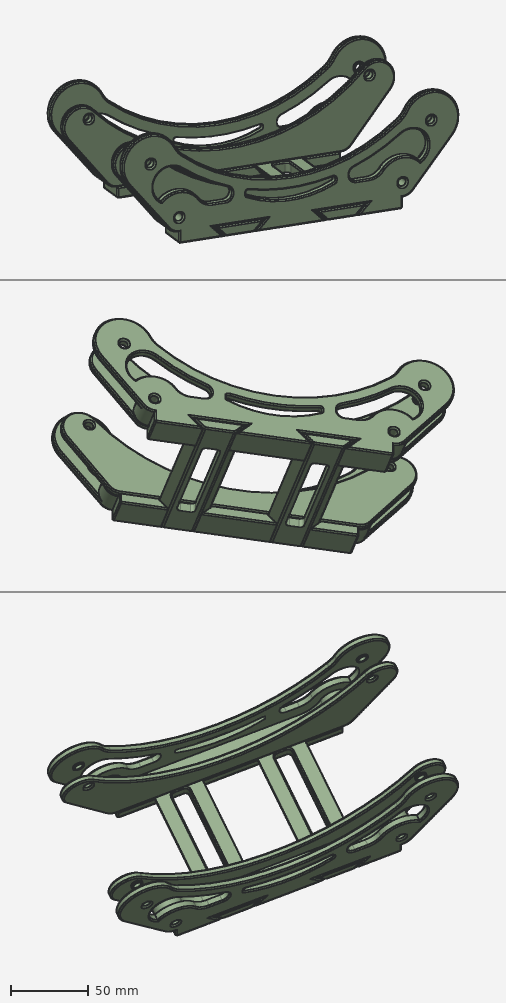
import cadquery as cq
import math

half_width = 58.46
plate_thickness = 5.0
side_width = 21.8
edge_chamfer = 1.0
outer_face_x = -half_width
plate_face_x = outer_face_x + plate_thickness
side_face_x = outer_face_x + side_width

cradle_center_z = 159.2
outer_cradle_radius = 125.0
inner_cradle_radius = 136.0

eye_y = 100.1
eye_z = 57.9
eye_radius = 20.0
eye_blend_radius = 20.0
lug_y = 79.7
lug_z = 18.0
lug_radius = 10.0

rail_half_length = lug_y
rail_height = lug_z - lug_radius
seat_arc_y = 56.0
seat_z = 13.5

window_top_radius = 133.3
window_lobe_y = 85.7
window_lobe_radius = 12.5
window_hump_radius = 18.0
window_floor_z = 24.0
window_floor_y = 56.0
window_corner_radius = 5.0
arc_slot_half_length = 32.0
arc_slot_bottom_z = 18.7
arc_slot_bottom_radius = 76.4
arc_slot_end_radius = 1.7

inner_plate_thickness = 4.8
inner_plate_x = side_face_x - inner_plate_thickness
inner_eye_y = 105.5
inner_eye_radius = 13.0

pivot_hole_diameter = 5.5
hole_rim_diameter = 8.0
boss_diameter = 8.0
outer_boss_height = 0.7
inner_boss_height = 1.2
screw_hole_diameter = 5.5
pilot_diameter = 3.1
pilot_rim_diameter = 5.3
pilot_depth = 3.5

bar_y = 36.3
bar_clearance = 0.5
bar_height = rail_height - bar_clearance
bar_top_half_width = 17.8
bar_slot_width = 12.2
bar_slot_half_length = 36.5
bar_slot_fillet = 3.0


def polar(center, radius, angle):
    return (center[0] + radius * math.cos(angle), center[1] + radius * math.sin(angle))


def toward(start, end, distance):
    """Point at a distance from start on the line to end."""
    length = math.dist(start, end)
    return tuple(a + (b - a) * distance / length for a, b in zip(start, end))


def mid_arc(center, start, end):
    """Middle of the shorter arc about center from start to end."""
    middle = ((start[0] + end[0]) / 2, (start[1] + end[1]) / 2)
    return toward(center, middle, math.dist(center, start))


def circle_meet(center_a, radius_a, center_b, radius_b, side):
    """One of the two points where two circles cross; side +1 lies left of the line from a to b."""
    gap = math.dist(center_a, center_b)
    swing = math.acos((radius_a**2 + gap**2 - radius_b**2) / (2 * radius_a * gap))
    heading = math.atan2(center_b[1] - center_a[1], center_b[0] - center_a[0])
    return polar(center_a, radius_a, heading + side * swing)


def mirrored(point):
    return (-point[0], point[1])


cradle_center = (0, cradle_center_z)
eye = (eye_y, eye_z)
lug = (lug_y, lug_z)

lug_bottom = (lug_y, rail_height)


def outside_cradle(y, distance):
    """Point at the given Y and distance from the cradle center, below that center."""
    return (y, cradle_center_z - math.sqrt(distance**2 - y**2))


def flank(eye_center, radius):
    """Ends of the line tangent to the outer sides of an eye and the lug, eye end first."""
    bearing = math.atan2(eye_center[1] - lug_z, eye_center[0] - lug_y)
    normal = bearing - math.acos((lug_radius - radius) / math.dist(eye_center, lug))
    return polar(eye_center, radius, normal), polar(lug, lug_radius, normal)


def eye_crown(center, radius):
    """Outermost point of an eye, away from the cradle center."""
    return polar(center, radius, math.pi / 4)


def extrude_x(sketch, x_start, x_end):
    return sketch.extrude(x_end - x_start).translate((x_start, 0, 0))


def frame_plate_outline():
    rail_bottom = (rail_half_length - edge_chamfer, 0)
    rail_side = (rail_half_length, edge_chamfer)
    blend = circle_meet(
        cradle_center, outer_cradle_radius - eye_blend_radius, eye, eye_radius + eye_blend_radius, -1
    )
    blend_top = toward(eye, blend, eye_radius)
    blend_bottom = toward(cradle_center, blend, outer_cradle_radius)
    blend_middle = mid_arc(blend, blend_top, blend_bottom)
    flank_top, flank_bottom = flank(eye, eye_radius)
    lug_middle = mid_arc(lug, lug_bottom, flank_bottom)
    crown = eye_crown(eye, eye_radius)
    return (
        cq.Workplane("YZ")
        .moveTo(*mirrored(rail_bottom))
        .lineTo(*rail_bottom)
        .lineTo(*rail_side)
        .lineTo(*lug_bottom)
        .threePointArc(lug_middle, flank_bottom)
        .lineTo(*flank_top)
        .threePointArc(crown, blend_top)
        .threePointArc(blend_middle, blend_bottom)
        .threePointArc((0, cradle_center_z - outer_cradle_radius), mirrored(blend_bottom))
        .threePointArc(mirrored(blend_middle), mirrored(blend_top))
        .threePointArc(mirrored(crown), mirrored(flank_top))
        .lineTo(*mirrored(flank_bottom))
        .threePointArc(mirrored(lug_middle), mirrored(lug_bottom))
        .lineTo(*mirrored(rail_side))
        .close()
    )


def inner_plate_outline():
    inner_eye = outside_cradle(inner_eye_y, inner_cradle_radius + inner_eye_radius)
    flank_end, flank_bottom = flank(inner_eye, inner_eye_radius)
    cradle_end = toward(cradle_center, inner_eye, inner_cradle_radius)
    crown = eye_crown(inner_eye, inner_eye_radius)
    lug_middle = mid_arc(lug, lug_bottom, flank_bottom)
    return (
        cq.Workplane("YZ")
        .moveTo(*mirrored(lug_bottom))
        .lineTo(*lug_bottom)
        .threePointArc(lug_middle, flank_bottom)
        .lineTo(*flank_end)
        .threePointArc(crown, cradle_end)
        .threePointArc((0, cradle_center_z - inner_cradle_radius), mirrored(cradle_end))
        .threePointArc(mirrored(crown), mirrored(flank_end))
        .lineTo(*mirrored(flank_bottom))
        .threePointArc(mirrored(lug_middle), mirrored(lug_bottom))
        .close()
    )


def sweep_center(hump_radius, floor_y, floor_z):
    """Center of the hollow arc that runs from a floor up onto a round hump about the lug."""
    run = lug_y - floor_y
    rise = floor_z - lug_z
    radius = (run**2 + rise**2 - hump_radius**2) / (2 * (hump_radius - rise))
    return (floor_y, floor_z + radius)


def side_window():
    """Curved window of the +Y half: lobe, cradle arc, rounded tip, floor and hump."""
    lobe = outside_cradle(window_lobe_y, window_top_radius + window_lobe_radius)
    lobe_top = toward(cradle_center, lobe, window_top_radius)
    cusp = circle_meet(lug, window_hump_radius, lobe, window_lobe_radius, -1)
    hollow = sweep_center(window_hump_radius, window_floor_y, window_floor_z)
    hump_end = toward(lug, hollow, window_hump_radius)
    floor_start = (window_floor_y, window_floor_z)
    tip_z = window_floor_z + window_corner_radius
    tip_reach = window_top_radius + window_corner_radius
    tip = (math.sqrt(tip_reach**2 - (cradle_center_z - tip_z) ** 2), tip_z)
    floor_end = (tip[0], window_floor_z)
    tip_top = toward(tip, cradle_center, window_corner_radius)
    return (
        cq.Workplane("YZ")
        .moveTo(*lobe_top)
        .threePointArc(polar(lobe, window_lobe_radius, 0), cusp)
        .threePointArc(mid_arc(lug, cusp, hump_end), hump_end)
        .threePointArc(mid_arc(hollow, hump_end, floor_start), floor_start)
        .lineTo(*floor_end)
        .threePointArc(polar(tip, window_corner_radius, math.pi), tip_top)
        .threePointArc(mid_arc(cradle_center, tip_top, lobe_top), lobe_top)
        .close()
    )


def arc_slot():
    """Crescent slot across Y = 0 between two arcs, with blunt rounded ends."""
    top_end = outside_cradle(arc_slot_half_length, window_top_radius)
    bottom_center_z = arc_slot_bottom_z + arc_slot_bottom_radius
    bottom_drop = math.sqrt(arc_slot_bottom_radius**2 - arc_slot_half_length**2)
    bottom_end = (arc_slot_half_length, bottom_center_z - bottom_drop)
    return (
        cq.Workplane("YZ")
        .moveTo(*top_end)
        .threePointArc((0, cradle_center_z - window_top_radius), mirrored(top_end))
        .lineTo(*mirrored(bottom_end))
        .threePointArc((0, arc_slot_bottom_z), bottom_end)
        .close()
    )


def spacer_outline():
    """Web between the plates: a hump about each lug and a flat seat between them."""
    hollow = sweep_center(lug_radius, seat_arc_y, seat_z)
    hump_end = toward(lug, hollow, lug_radius)
    seat_end = (seat_arc_y, seat_z)
    hollow_middle = mid_arc(hollow, hump_end, seat_end)
    hump_middle = polar(lug, lug_radius, 0)
    return (
        cq.Workplane("YZ")
        .moveTo(*mirrored(lug_bottom))
        .lineTo(*lug_bottom)
        .threePointArc(hump_middle, hump_end)
        .threePointArc(hollow_middle, seat_end)
        .lineTo(*mirrored(seat_end))
        .threePointArc(mirrored(hollow_middle), mirrored(hump_end))
        .threePointArc(mirrored(hump_middle), mirrored(lug_bottom))
        .close()
    )


def cylinder_x(y, z, diameter, x_start, x_end):
    return cq.Solid.makeCylinder(diameter / 2, x_end - x_start, cq.Vector(x_start, y, z), cq.Vector(1, 0, 0))


def countersink_x(y, z, rim_diameter, hole_diameter, face_x, inward):
    """45 degree cone that flares a hole at face_x; inward is the X direction into the material."""
    depth = (rim_diameter - hole_diameter) / 2
    mouth = cq.Vector(face_x, y, z)
    return cq.Solid.makeCone(rim_diameter / 2, hole_diameter / 2, depth, mouth, cq.Vector(inward, 0, 0))


def dovetail(grow):
    """Dovetail section centered on Y = 0, with its top and flanks moved outward by grow."""
    top = bar_height + grow
    half_top = bar_top_half_width + grow * (1 + math.sqrt(2))
    half_bottom = half_top - top
    return [(-half_bottom, 0), (half_bottom, 0), (half_top, top), (-half_top, top)]


def bar_pocket(y):
    """Dovetail pocket through a side, flared at its outer face."""
    through = cq.Workplane("YZ", origin=(outer_face_x, y, 0)).polyline(dovetail(bar_clearance)).close()
    flare = (
        cq.Workplane("YZ", origin=(outer_face_x, y, 0))
        .polyline(dovetail(bar_clearance + edge_chamfer))
        .close()
        .workplane(offset=edge_chamfer)
        .polyline(dovetail(bar_clearance))
        .close()
        .loft()
    )
    return through.extrude(side_width).union(flare)


def make_frame():
    """Outer plate, spacer web and foot rail of the -X side, in one piece."""
    plate = extrude_x(frame_plate_outline(), outer_face_x, plate_face_x)
    plate = plate.faces(">X").chamfer(edge_chamfer)
    window = extrude_x(side_window(), outer_face_x, plate_face_x)
    slot = extrude_x(arc_slot(), outer_face_x, plate_face_x).edges("|X").fillet(arc_slot_end_radius)
    plate = plate.cut(window).cut(window.mirror("XZ")).cut(slot)
    plate = plate.faces("<X").chamfer(edge_chamfer)

    web = extrude_x(spacer_outline(), outer_face_x + edge_chamfer, inner_plate_x)
    rail = cq.Workplane("XY").box(side_width, 2 * rail_half_length, rail_height, centered=(False, True, False))
    rail = rail.edges("|Z").chamfer(edge_chamfer).faces("<Z").chamfer(edge_chamfer)
    rail = rail.edges(">X and >Z").chamfer(edge_chamfer).translate((outer_face_x, 0, 0))
    frame = plate.union(web).union(rail)

    boss_tip_x = plate_face_x + outer_boss_height
    for end in (-1, 1):
        y = end * eye_y
        frame = frame.union(cylinder_x(y, eye_z, boss_diameter, plate_face_x, boss_tip_x))
        frame = frame.cut(cylinder_x(y, eye_z, pivot_hole_diameter, outer_face_x, boss_tip_x))
        frame = frame.cut(countersink_x(y, eye_z, hole_rim_diameter, pivot_hole_diameter, outer_face_x, 1))
        y = end * lug_y
        frame = frame.cut(cylinder_x(y, lug_z, screw_hole_diameter, outer_face_x, inner_plate_x))
        frame = frame.cut(countersink_x(y, lug_z, hole_rim_diameter, screw_hole_diameter, outer_face_x, 1))
    for y in (-bar_y, bar_y):
        frame = frame.cut(bar_pocket(y))
    return frame


def make_inner_plate():
    """Inner plate of the -X side, standing on the rail against the web."""
    plate = extrude_x(inner_plate_outline(), inner_plate_x, side_face_x)
    plate = plate.faces("<X or >X").chamfer(edge_chamfer)
    boss_tip_x = inner_plate_x - inner_boss_height
    pilot_end_x = inner_plate_x + pilot_depth
    for end in (-1, 1):
        y = end * eye_y
        plate = plate.union(cylinder_x(y, eye_z, boss_diameter, boss_tip_x, inner_plate_x))
        plate = plate.cut(cylinder_x(y, eye_z, pivot_hole_diameter, boss_tip_x, side_face_x))
        plate = plate.cut(countersink_x(y, eye_z, hole_rim_diameter, pivot_hole_diameter, side_face_x, -1))
        y = end * lug_y
        plate = plate.cut(cylinder_x(y, lug_z, pilot_diameter, inner_plate_x, pilot_end_x))
        plate = plate.cut(countersink_x(y, lug_z, pilot_rim_diameter, pilot_diameter, inner_plate_x, 1))
    return plate


def make_bar(y):
    """Slotted cross bar with dovetail flanks, running through both rails."""
    bar = extrude_x(cq.Workplane("YZ").polyline(dovetail(0)).close(), -half_width, half_width)
    bar = bar.edges().chamfer(edge_chamfer)
    slot = cq.Workplane("XY").box(2 * bar_slot_half_length, bar_slot_width, bar_height, centered=(True, True, False))
    slot = slot.edges("|Z").fillet(bar_slot_fillet)
    bar = bar.cut(slot)
    slot_rim = bar.faces(">Z").wires(cq.selectors.LengthNthSelector(0)).edges()
    return slot_rim.chamfer(edge_chamfer).translate((0, y, 0))


frame = make_frame()
inner_plate = make_inner_plate()
frames = [frame, frame.mirror("YZ")]
inner_plates = [inner_plate, inner_plate.mirror("YZ")]
bars = [make_bar(y) for y in (-bar_y, bar_y)]

result = cq.Compound.makeCompound([body.val() for body in frames + inner_plates + bars])